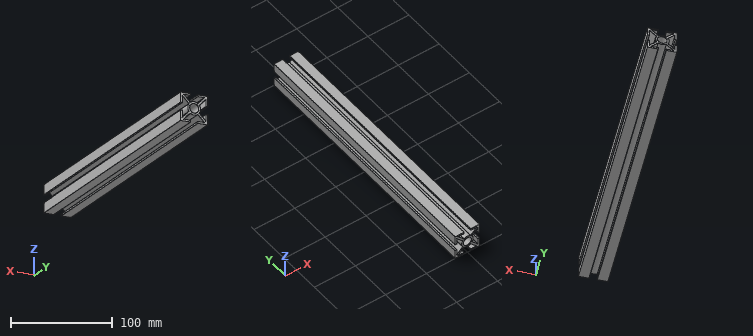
import cadquery as cq
import math

length = 300.0
side = 30.0
wall = 2.0
slot_width = 8.0
web_thickness = 2.5
tube_outer_diameter = 14.0
tube_bore_diameter = 10.0

half_side = side / 2
web_length = 2 * (math.sqrt(2) * (half_side - wall) + wall / 2)


def profile_plane():
    return cq.Workplane("XZ", origin=(0, length / 2, 0))


def slotted_shell():
    """Square outer wall with an open slot along the middle of each side."""
    inner_side = side - 2 * wall
    shell = profile_plane().rect(side, side).rect(inner_side, inner_side).extrude(length)
    side_slots = cq.Workplane().box(side, length, slot_width)
    top_slots = cq.Workplane().box(slot_width, length, side)
    return shell.cut(side_slots).cut(top_slots)


def diagonal_web(angle):
    web = cq.Workplane().box(web_length, length, web_thickness)
    return web.rotate((0, 0, 0), (0, 1, 0), angle)


def central_bore():
    return profile_plane().circle(tube_bore_diameter / 2).extrude(length)


profile = profile_plane().circle(tube_outer_diameter / 2).extrude(length)
profile = profile.union(slotted_shell())
for angle in (45, -45):
    profile = profile.union(diagonal_web(angle))

result = profile.cut(central_bore())